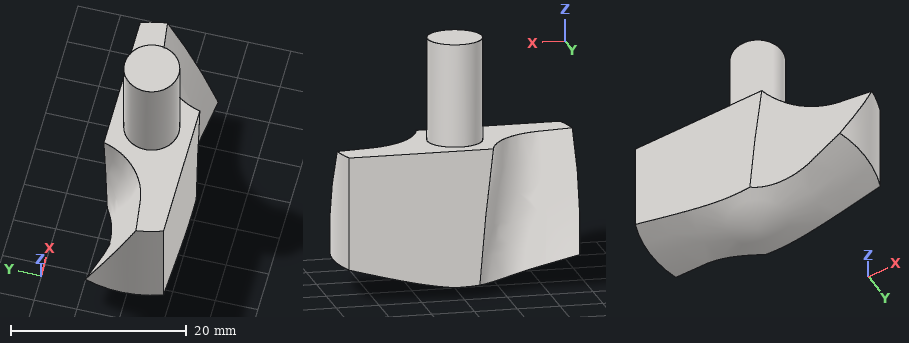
import cadquery as cq
import math

total_height = 29.7
body_top = 17.58
cutting_radius = 14.25
body_thickness = 9.55
shank_diameter = 6.4
corner_height = 4.28

flute_arc_start = (3.42, -4.78)
flute_arc_mid = (6.35, -0.33)
flute_arc_end = (10.4, 1.25)
lip_angle = 7.3
flute_lead = 191.85
flute_reach = 18.4
flute_depth = -17.82


def make_blank():
    """Flat-sided slice of a cylinder with a conical point at the origin."""
    pointed_cylinder = (
        cq.Workplane("XZ")
        .moveTo(0, 0)
        .lineTo(cutting_radius, corner_height)
        .lineTo(cutting_radius, body_top)
        .lineTo(0, body_top)
        .close()
        .revolve(360, (0, 0), (0, 1))
    )
    slab = cq.Workplane("XY").box(
        2 * cutting_radius, body_thickness, body_top, centered=(True, True, False)
    )
    return pointed_cylinder.intersect(slab)


def make_flute_cutter():
    """Helical cutter that removes one flute over the full body height."""
    twist = 360 * body_top / flute_lead
    lip_rise = (flute_reach - flute_arc_end[0]) * math.tan(math.radians(lip_angle))
    cutter = (
        cq.Workplane("XY")
        .moveTo(*flute_arc_start)
        .threePointArc(flute_arc_mid, flute_arc_end)
        .lineTo(flute_reach, flute_arc_end[1] + lip_rise)
        .lineTo(flute_reach, flute_depth)
        .lineTo(flute_arc_start[0], flute_depth)
        .close()
        .twistExtrude(body_top, twist)
    )
    return cutter.rotate((0, 0, 0), (0, 0, 1), -twist)


body = make_blank()
flute_cutter = make_flute_cutter()
for flute_angle in (0, 180):
    body = body.cut(flute_cutter.rotate((0, 0, 0), (0, 0, 1), flute_angle))

shank = (
    cq.Workplane("XY")
    .workplane(offset=body_top)
    .circle(shank_diameter / 2)
    .extrude(total_height - body_top)
)

result = body.union(shank)